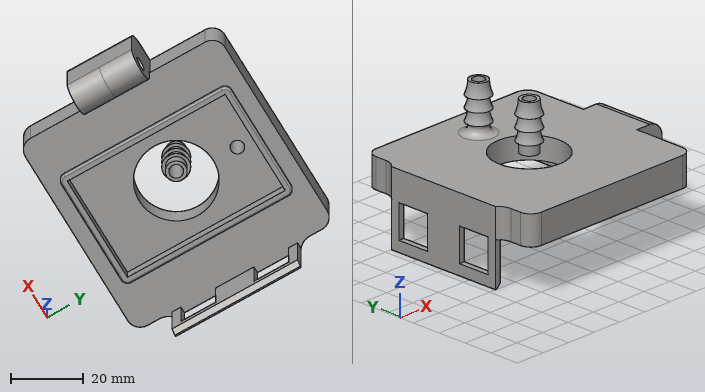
import cadquery as cq
import math

plate_half = 31.75
plate_thickness = 9.95
corner_radius = 4.0
center_hole_radius = 11.8

tab_thickness = 1.95
tab_half_width = 20.0
tab_bottom_z = -24.9
tab_chamfer = 1.5
tab_flare_radius = 5.0
window_inner_y = 6.1
window_outer_y = 17.1
window_top_z = -plate_thickness
window_bottom_z = -21.2

lug_radius = 4.8
lug_top_radius = 4.9
overall_length = 75.4
lug_end_x = overall_length - plate_half - tab_thickness
lug_half_width = 10.25
lug_axis_z = -15.0
lug_hole_radius = 2.0

pad_size_x = 36.5
pad_size_y = 54.15
pad_height = 1.6
pad_corner_radius = 2.0
pad_edge_fillet = 0.5

pocket_wall = 1.95
pocket_top_z = -7.5

tube_height = 16.0
tube_radius = 3.0
bore_radius = 2.0
barb_radius = 4.0
barb_count = 3
barb_pitch = 4.0
first_barb_z = 3.5
root_fillet = 2.6
side_tube_y = 19.45

tab_outer_x = -plate_half - tab_thickness
lug_axis_x = lug_end_x - lug_radius
flare_center_x = -plate_half - tab_flare_radius
flare_length = math.sqrt(tab_flare_radius**2 - (tab_flare_radius - tab_thickness) ** 2)


def box_between(x0, x1, y0, y1, z0, z1):
    """Box given by its limits along each axis."""
    return cq.Workplane("XY").box(x1 - x0, y1 - y0, z1 - z0, centered=False).translate((x0, y0, z0))


def make_barbed_tube():
    """Barbed tube standing on Z = 0, still without its bore."""
    profile = cq.Workplane("XZ").lineTo(tube_radius, 0)
    barb_depth = barb_radius - tube_radius
    for index in range(barb_count):
        edge_z = first_barb_z + index * barb_pitch
        tip_z = tube_height if index == barb_count - 1 else edge_z + barb_pitch
        flank_height = tip_z - edge_z
        flank_radius = (barb_depth**2 + flank_height**2) / (2 * barb_depth)
        half_angle = math.asin(flank_height / flank_radius) / 2
        mid_radius = tube_radius + flank_radius * (1 - math.cos(half_angle))
        mid_z = tip_z - flank_radius * math.sin(half_angle)
        if index == 0:
            profile = profile.lineTo(tube_radius, edge_z)
        profile = profile.lineTo(barb_radius, edge_z).threePointArc((mid_radius, mid_z), (tube_radius, tip_z))
    profile = profile.lineTo(0, tube_height).close()
    return profile.revolve(360, (0, 0, 0), (0, 1, 0))


def make_bore(depth):
    """Bore through a tube, reaching the given depth below Z = 0."""
    return cq.Workplane("XY").workplane(offset=-depth).circle(bore_radius).extrude(depth + tube_height)


def make_root_flare():
    """Concave fillet between a tube and the plate top."""
    fillet_mid = root_fillet * (1 - math.sqrt(0.5))
    return (
        cq.Workplane("XZ")
        .lineTo(tube_radius + root_fillet, 0)
        .threePointArc((tube_radius + fillet_mid, fillet_mid), (tube_radius, root_fillet))
        .lineTo(0, root_fillet)
        .close()
        .revolve(360, (0, 0, 0), (0, 1, 0))
    )


def make_plate():
    """Rounded square plate, widened at -X to carry the latch tab."""
    side = 2 * plate_half
    plate = cq.Workplane("XY").rect(side, side).extrude(-plate_thickness).edges("|Z").fillet(corner_radius)
    flare_end_y = tab_half_width + flare_length
    arc_angle = math.asin(flare_length / tab_flare_radius) / 2
    mid_x = flare_center_x + tab_flare_radius * math.cos(arc_angle)
    mid_y = flare_end_y - tab_flare_radius * math.sin(arc_angle)
    widening = (
        cq.Workplane("XY")
        .moveTo(0, -flare_end_y)
        .lineTo(-plate_half, -flare_end_y)
        .threePointArc((mid_x, -mid_y), (tab_outer_x, -tab_half_width))
        .lineTo(tab_outer_x, tab_half_width)
        .threePointArc((mid_x, mid_y), (-plate_half, flare_end_y))
        .lineTo(0, flare_end_y)
        .close()
        .extrude(-plate_thickness)
    )
    return plate.union(widening)


def make_tab():
    """Latch tab hanging from the plate, chamfered at its inner lower edge."""
    tab = box_between(tab_outer_x, -plate_half, -tab_half_width, tab_half_width, tab_bottom_z, 0)
    tab = tab.edges(">X and <Z").chamfer(tab_chamfer)
    for y0, y1 in ((-window_outer_y, -window_inner_y), (window_inner_y, window_outer_y)):
        tab = tab.cut(box_between(tab_outer_x, -plate_half, y0, y1, window_bottom_z, window_top_z))
    return tab


def make_lug():
    """Hinge lug with a rounded top edge, a round lower end and a pin hole."""
    upper = box_between(
        lug_axis_x - lug_radius, lug_end_x, -lug_half_width, lug_half_width, lug_axis_z, 0
    ).edges(">X and >Z").fillet(lug_top_radius)
    joint_start_x = plate_half - corner_radius
    joint = box_between(joint_start_x, lug_axis_x, -lug_half_width, lug_half_width, -plate_thickness, 0)
    axis_plane = cq.Workplane("XZ", origin=(lug_axis_x, 0, lug_axis_z))
    knuckle = axis_plane.circle(lug_radius).extrude(lug_half_width, both=True)
    pin_hole = axis_plane.circle(lug_hole_radius).extrude(lug_half_width, both=True)
    return upper.union(joint).union(knuckle).cut(pin_hole)


def make_pad():
    """Raised rectangular pad under the plate."""
    return (
        cq.Workplane("XY", origin=(0, 0, -plate_thickness))
        .rect(pad_size_x, pad_size_y)
        .extrude(-pad_height)
        .edges("|Z")
        .fillet(pad_corner_radius)
        .faces("<Z")
        .edges()
        .fillet(pad_edge_fillet)
    )


def make_pocket():
    """Void of the pocket, open downward and parallel to the pad outline."""
    return (
        cq.Workplane("XY", origin=(0, 0, pocket_top_z))
        .rect(pad_size_x - 2 * pocket_wall, pad_size_y - 2 * pocket_wall)
        .extrude(-plate_thickness - pad_height - pocket_top_z)
    )


def make_housing():
    """Plate with tab, lug, pad and the side hose connector."""
    full_depth = plate_thickness + pad_height
    side_place = (0, side_tube_y, 0)
    housing = make_plate().union(make_tab()).union(make_lug()).union(make_pad()).cut(make_pocket())
    housing = housing.union(make_barbed_tube().union(make_root_flare()).translate(side_place))
    center_hole = cq.Workplane("XY").circle(center_hole_radius).extrude(-full_depth)
    return housing.cut(center_hole).cut(make_bore(full_depth).translate(side_place))


def make_center_connector():
    """Separate hose connector standing free on the axis of the central hole."""
    return make_barbed_tube().cut(make_bore(0))


housing = make_housing()
center_connector = make_center_connector()

result = cq.Compound.makeCompound([housing.val(), center_connector.val()])